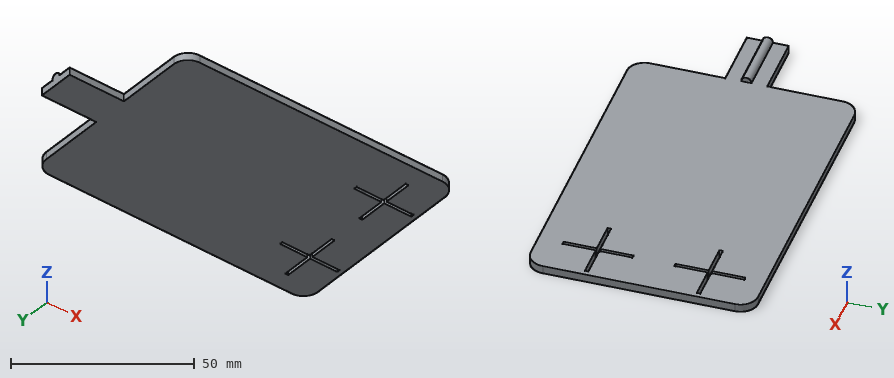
import cadquery as cq

plate_length = 95.0
plate_width = 65.0
plate_thickness = 2.5
corner_radius = 5.0

tab_length = 19.0
tab_width = 12.0
ridge_radius = 1.5

cross_span = 20.0
cross_slot_width = 1.0
cross_edge_distance = 11.6
cross_spacing = 32.0
cross_pair_offset = 0.6

tab_start = -plate_length / 2 - tab_length
cross_x = plate_length / 2 - cross_edge_distance


def make_plate():
    """Flat plate with rounded vertical corners."""
    plate = cq.Workplane("XY").rect(plate_length, plate_width).extrude(plate_thickness)
    return plate.edges("|Z").fillet(corner_radius)


def make_tab():
    """Flat tab, flush with both faces of the plate."""
    tab = cq.Workplane("XY").rect(tab_length, tab_width).extrude(plate_thickness)
    return tab.translate((tab_start + tab_length / 2, 0, 0))


def make_ridge():
    """Ridge with a semicircular section, as long as the tab."""
    return (
        cq.Workplane("YZ", origin=(tab_start, 0, plate_thickness))
        .moveTo(-ridge_radius, 0)
        .threePointArc((0, ridge_radius), (ridge_radius, 0))
        .close()
        .extrude(tab_length)
    )


def make_cross(y):
    """Cutter for one cross of two equal slots, centred at the given Y."""
    along_x = cq.Workplane("XY").rect(cross_span, cross_slot_width).extrude(plate_thickness)
    along_y = cq.Workplane("XY").rect(cross_slot_width, cross_span).extrude(plate_thickness)
    return along_x.union(along_y).translate((cross_x, y, 0))


result = make_plate().union(make_tab()).union(make_ridge())
for side in (-1, 1):
    result = result.cut(make_cross(cross_pair_offset + side * cross_spacing / 2))